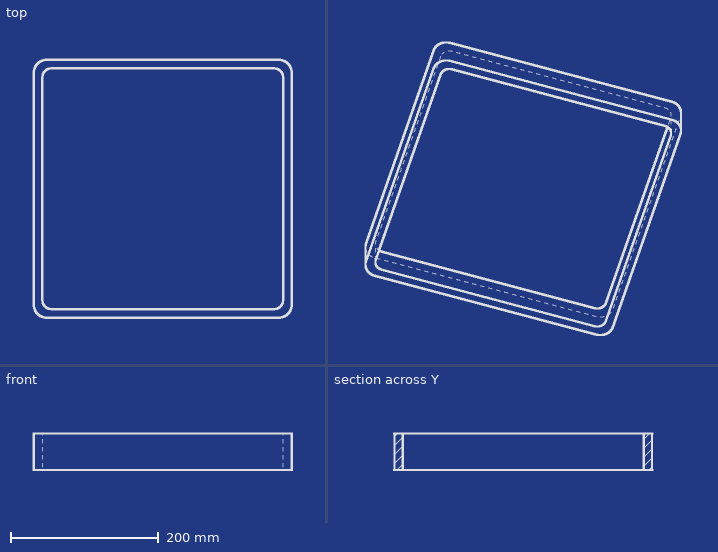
import cadquery as cq

outer_side = 350.0
height = 50.0
wall = 12.0
outer_corner_radius = 18.0
inner_corner_radius = 12.0

inner_side = outer_side - 2 * wall


def rounded_square_block(side, corner_radius):
    """Square block standing on Z = 0 with its four upright edges rounded."""
    block = cq.Workplane("XY").box(side, side, height, centered=(True, True, False))
    return block.edges("|Z").fillet(corner_radius)


outer_block = rounded_square_block(outer_side, outer_corner_radius)
opening = rounded_square_block(inner_side, inner_corner_radius)

result = outer_block.cut(opening)